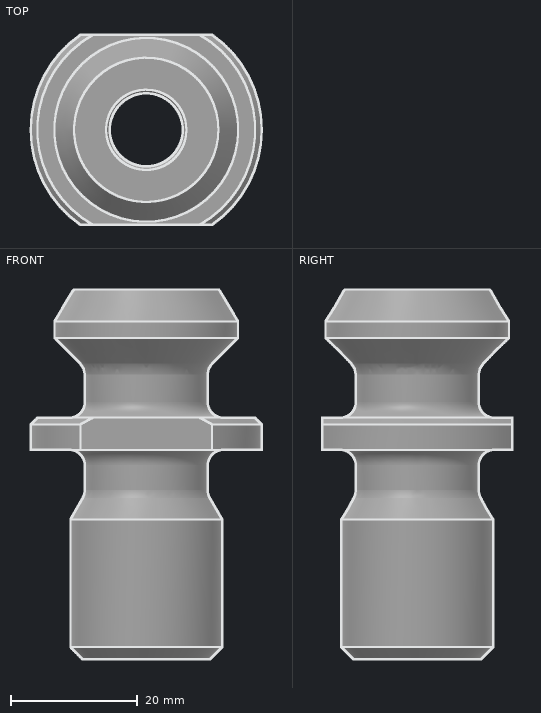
import cadquery as cq
import math

total_height = 58.4
bore_diameter = 11.5
mouth_chamfer_width = 0.6
mouth_chamfer_depth = 1.0

shank_radius = 24.0 / 2
shank_chamfer = 1.9
shank_top = 22.1
shoulder_angle = 30.0

neck_radius = 19.45 / 2
neck_fillet = 2.45

flange_radius = 36.5 / 2
flange_bottom = 33.05
flange_top = 38.15
flange_chamfer = 1.05
flats_width = 30.0

head_radius = 29.0 / 2
head_bottom = 50.75
head_top = 53.3
underside_angle = 45.0
rim_radius = 11.6
rim_chamfer = 0.25

shoulder_top = shank_top + (shank_radius - neck_radius) / math.tan(math.radians(shoulder_angle))
underside_start = head_bottom - (head_radius - neck_radius) / math.tan(math.radians(underside_angle))


def turned_body():
    """Revolve the outer profile, given as (radius, height), about the Z axis."""
    profile = [
        (0, 0),
        (shank_radius - shank_chamfer, 0),
        (shank_radius, shank_chamfer),
        (shank_radius, shank_top),
        (neck_radius, shoulder_top),
        (neck_radius, flange_bottom),
        (flange_radius, flange_bottom),
        (flange_radius, flange_top - flange_chamfer),
        (flange_radius - flange_chamfer, flange_top),
        (neck_radius, flange_top),
        (neck_radius, underside_start),
        (head_radius, head_bottom),
        (head_radius, head_top),
        (rim_radius, total_height - rim_chamfer),
        (rim_radius - rim_chamfer, total_height),
        (0, total_height),
    ]
    return cq.Workplane("XZ").polyline(profile).close().revolve(360, (0, 0), (0, 1))


def round_neck_ends(body):
    """Fillet the circles at both ends of each neck."""
    margin = 0.05
    reach = neck_radius + margin
    for height in (shoulder_top, flange_bottom, flange_top, underside_start):
        ring = cq.selectors.BoxSelector(
            (-reach, -reach, height - margin), (reach, reach, height + margin), boundingbox=True
        )
        body = body.edges(ring).edges("%CIRCLE").fillet(neck_fillet)
    return body


def trim_flats(body):
    """Keep only the material between the two flats, which face -Y and +Y."""
    slab = cq.Workplane("XY").box(
        2 * flange_radius, flats_width, total_height, centered=(True, True, False)
    )
    return body.intersect(slab)


def bore(body):
    """Cut the through bore and chamfer its upper mouth."""
    bore_radius = bore_diameter / 2
    profile = [
        (0, 0),
        (bore_radius, 0),
        (bore_radius, total_height - mouth_chamfer_depth),
        (bore_radius + mouth_chamfer_width, total_height),
        (0, total_height),
    ]
    cutter = cq.Workplane("XZ").polyline(profile).close().revolve(360, (0, 0), (0, 1))
    return body.cut(cutter)


result = bore(trim_flats(round_neck_ends(turned_body())))